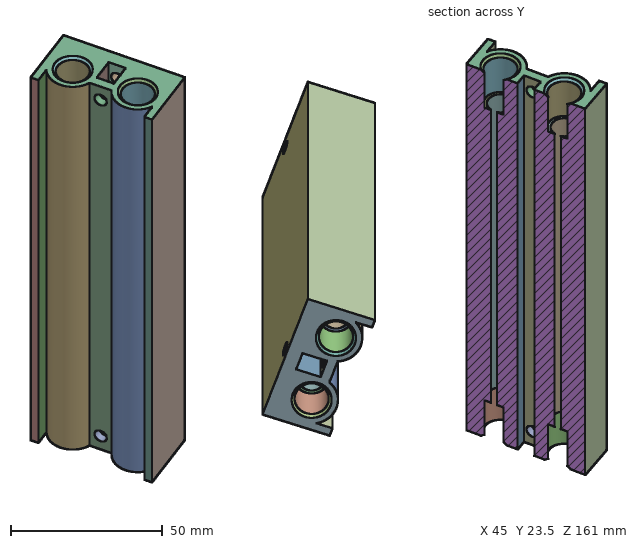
import cadquery as cq

length = 161.0
width = 45.0
depth = 23.5
back_y = depth / 2
front_y = -depth / 2

leg_thickness = 2.9
web_front_y = back_y - 16.9
tube_spacing = 24.2
tube_y = back_y - 13.5
tube_radius = 8.7

bore_radius = 4.5
port_radius = 5.6
port_depth = 16.1
port_mouth_radius = 6.6
port_chamfer = port_mouth_radius - port_radius

channel_width = 6.3
channel_back_y = back_y - 5.0
channel_front_y = tube_y

mount_radius = 2.3
mount_end_distance = 6.0

tube_centers = [(side * tube_spacing / 2, tube_y) for side in (-1, 1)]


def upright_box(box_width, low_y, high_y):
    """Full-length box centred on X and Z, between two Y positions."""
    center_y = (low_y + high_y) / 2
    return cq.Workplane("XY").center(0, center_y).box(box_width, high_y - low_y, length)


def make_body():
    block = upright_box(width, front_y, back_y)
    relief = upright_box(width - 2 * leg_thickness, front_y, web_front_y)
    tubes = (
        cq.Workplane("XY", origin=(0, 0, -length / 2))
        .pushPoints(tube_centers)
        .circle(tube_radius)
        .extrude(length)
    )
    return block.cut(relief).union(tubes)


def make_port():
    """Through bore with a wider, chamfered port at each end, turned about its own axis."""
    end_z = length / 2
    half_profile = [
        (0, 0),
        (bore_radius, 0),
        (bore_radius, end_z - port_depth),
        (port_radius, end_z - port_depth),
        (port_radius, end_z - port_chamfer),
        (port_mouth_radius, end_z),
        (0, end_z),
    ]
    upper = cq.Workplane("XZ").polyline(half_profile).close().revolve(360, (0, 0), (0, 1))
    return upper.union(upper.mirror("XY"))


def make_mount_holes():
    hole_z = length / 2 - mount_end_distance
    return (
        cq.Workplane("XZ", origin=(0, back_y, 0))
        .pushPoints([(0, -hole_z), (0, hole_z)])
        .circle(mount_radius)
        .extrude(depth)
    )


channel = upright_box(channel_width, channel_front_y, channel_back_y)
result = make_body().cut(channel).cut(make_mount_holes())
for x, y in tube_centers:
    result = result.cut(make_port().translate((x, y, 0)))